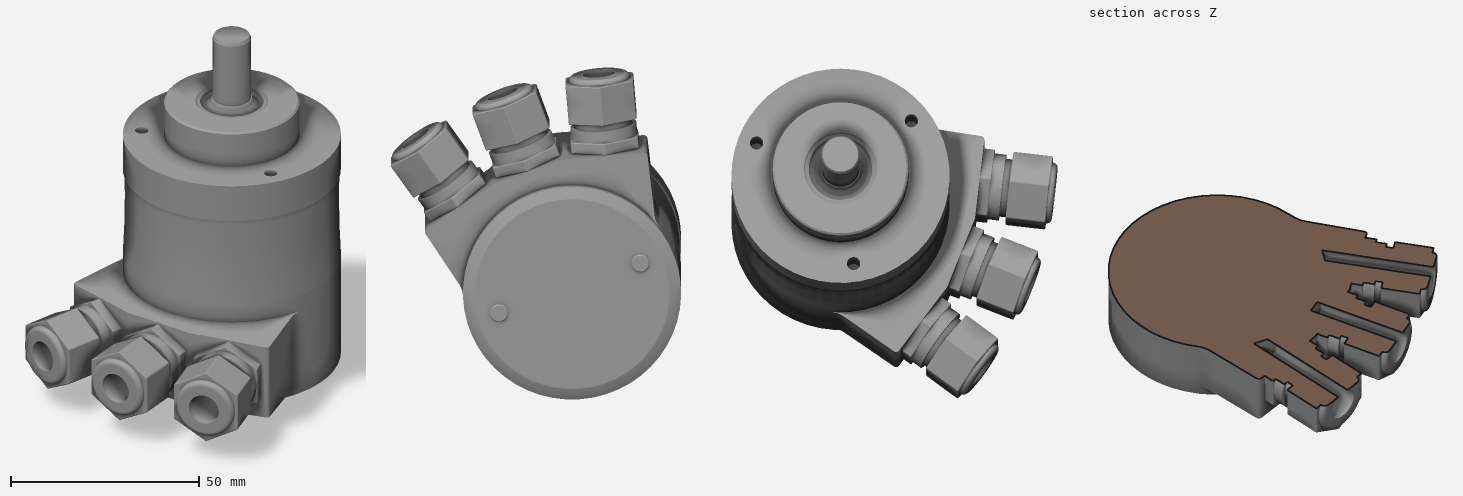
import cadquery as cq
import math


body_radius = 29.0
base_flat_radius = 25.9
waist_top_radius = 28.6
waist_mid_radius = 28.5
boss_radius = 18.0
shaft_radius = 5.1

base_z = 0.6
base_chamfer_top_z = 1.8
waist_bottom_z = 31.5
flange_bottom_z = 57.3
flange_top_z = 67.9
boss_top_z = 78.1
shaft_top_z = 98.0

boss_chamfer = 0.5
shaft_chamfer_height = 0.9
shaft_chamfer_width = 0.4

seal_radius = 9.7
seal_recess = 0.3
groove_outer_radius = 8.4
boot_radius = 7.1
groove_depth = 1.0
boot_base_depth = 0.8
collar_radius = 5.9
collar_top_radius = 5.4
collar_height = 1.0

mount_hole_radius = 1.8
mount_hole_circle = 24.0
mount_hole_depth = 9.8
drill_tip_height = 1.0

foot_radius = 2.45
foot_offset_x = 20.0
foot_chamfer = 0.3
foot_y = -1.8

box_bottom_z = 4.5
box_top_z = 26.7
box_top_slope = 4.0
box_front_y = -34.5
front_half_width = 10.0
side_face_angle = 15.0
side_face_length = 22.3
side_wall_angle = 13.2
box_corner_radius = 1.0
box_blend_radius = 7.35
box_back_y = -10.2
edge_search = 2.0

gland_z = 15.4
hex_across_flats = 18.0
hex_edge_radius = 0.6
hex_end_chamfer = 0.2
gland_base_length = 3.0
gland_collar_radius = 8.8
gland_collar_end = 6.1
gland_neck_radius = 7.7
nut_start = 7.9
nut_end = 18.5
gland_length = 20.0
cap_radius = 8.1
cap_edge_radius = 1.3
bore_radius = 4.2


def make_housing():
    """Base, waisted middle, flange and boss as one turned profile, with the seal groove."""
    seal_z = boss_top_z - seal_recess
    waist_mid_z = (waist_bottom_z + flange_bottom_z) / 2
    groove_mid_radius = (groove_outer_radius + boot_radius) / 2
    profile = (
        cq.Workplane("XZ")
        .moveTo(0, base_z)
        .lineTo(base_flat_radius, base_z)
        .lineTo(body_radius, base_chamfer_top_z)
        .lineTo(body_radius, waist_bottom_z)
        .threePointArc((waist_mid_radius, waist_mid_z), (waist_top_radius, flange_bottom_z))
        .lineTo(body_radius, flange_bottom_z)
        .lineTo(body_radius, flange_top_z)
        .lineTo(boss_radius, flange_top_z)
        .lineTo(boss_radius, boss_top_z - boss_chamfer)
        .lineTo(boss_radius - boss_chamfer, boss_top_z)
        .lineTo(seal_radius, boss_top_z)
        .lineTo(seal_radius - seal_recess, seal_z)
        .lineTo(groove_outer_radius, seal_z)
        .threePointArc(
            (groove_mid_radius, seal_z - groove_depth),
            (boot_radius, seal_z - boot_base_depth),
        )
        .lineTo(collar_radius, boss_top_z)
        .lineTo(collar_top_radius, boss_top_z + collar_height)
        .lineTo(shaft_radius, boss_top_z + collar_height)
        .lineTo(shaft_radius, shaft_top_z - shaft_chamfer_height)
        .lineTo(shaft_radius - shaft_chamfer_width, shaft_top_z)
        .lineTo(0, shaft_top_z)
        .close()
    )
    return profile.revolve(360, (0, 0, 0), (0, 1, 0))


def make_mount_holes():
    """Three blind drilled holes in the flange, the first one on +Y."""
    hole = (
        cq.Workplane("XZ")
        .moveTo(0, flange_top_z)
        .lineTo(mount_hole_radius, flange_top_z)
        .lineTo(mount_hole_radius, flange_top_z - mount_hole_depth)
        .lineTo(0, flange_top_z - mount_hole_depth - drill_tip_height)
        .close()
        .revolve(360, (0, 0, 0), (0, 1, 0))
        .translate((0, mount_hole_circle, 0))
    )
    holes = cq.Workplane("XY")
    for angle in (0, 120, 240):
        holes = holes.add(hole.rotate((0, 0, 0), (0, 0, 1), angle))
    return holes.combine()


def make_feet():
    """Two round feet, reaching up into the base."""
    return (
        cq.Workplane("XY")
        .pushPoints([(-foot_offset_x, foot_y), (foot_offset_x, foot_y)])
        .circle(foot_radius)
        .extrude(base_chamfer_top_z)
        .faces("<Z")
        .chamfer(foot_chamfer)
    )


def side_face_point(distance):
    """Point on the right-hand angled face, at a distance from its edge with the front face."""
    angle = math.radians(side_face_angle)
    x = front_half_width + distance * math.cos(angle)
    y = box_front_y + distance * math.sin(angle)
    return x, y


def make_box():
    """Junction box with three gland faces and a shallow conical top."""
    corner_x, corner_y = side_face_point(side_face_length)
    back_x = corner_x + corner_y * math.tan(math.radians(side_wall_angle))
    right_side = [(front_half_width, box_front_y), (corner_x, corner_y), (back_x, 0)]
    left_side = [(-x, y) for x, y in reversed(right_side)]
    box = (
        cq.Workplane("XY", origin=(0, 0, box_bottom_z))
        .polyline(right_side + left_side)
        .close()
        .extrude(box_top_z - box_bottom_z)
    )
    corners = cq.selectors.BoxSelector(
        (-2 * corner_x, corner_y - edge_search, 0), (2 * corner_x, corner_y + edge_search, box_top_z)
    )
    box = box.edges("|Z").edges(corners).fillet(box_corner_radius)

    outer_radius = 2 * body_radius
    drop = (outer_radius - body_radius) * math.tan(math.radians(box_top_slope))
    envelope = (
        cq.Workplane("XZ")
        .moveTo(0, 0)
        .lineTo(outer_radius, 0)
        .lineTo(outer_radius, box_top_z - drop)
        .lineTo(body_radius, box_top_z)
        .lineTo(0, box_top_z)
        .close()
        .revolve(360, (0, 0, 0), (0, 1, 0))
    )
    return box.intersect(envelope)


def hex_prism(start, end):
    """Hexagon along -Y with two corners up and down and softened edges."""
    corner_diameter = hex_across_flats / math.cos(math.radians(30))
    return (
        cq.Workplane("XZ", origin=(0, -start, 0))
        .polygon(6, corner_diameter)
        .extrude(end - start)
        .edges("|Y")
        .fillet(hex_edge_radius)
        .faces("<Y or >Y")
        .chamfer(hex_end_chamfer)
        .rotate((0, 0, 0), (0, 1, 0), 30)
    )


def round_section(radius, start, end):
    """Cylinder along -Y between two distances."""
    return cq.Workplane("XZ", origin=(0, -start, 0)).circle(radius).extrude(end - start)


def make_gland():
    """Cable gland pointing to -Y, with its seat at the origin."""
    cap = round_section(cap_radius, nut_start + hex_end_chamfer, gland_length)
    cap = cap.faces("<Y").edges().fillet(cap_edge_radius)
    return (
        hex_prism(0, gland_base_length)
        .union(round_section(gland_collar_radius, gland_base_length, gland_collar_end))
        .union(round_section(gland_neck_radius, gland_collar_end, nut_start))
        .union(hex_prism(nut_start, nut_end))
        .union(cap)
    )


side_x, side_y = side_face_point(side_face_length / 2)
gland_seats = [
    (-side_x, side_y, -side_face_angle),
    (0, box_front_y, 0),
    (side_x, side_y, side_face_angle),
]

gland = make_gland()
bore = round_section(bore_radius, -body_radius / 2, gland_length)

box_and_glands = make_box()
for x, y, angle in gland_seats:
    placed_gland = gland.rotate((0, 0, 0), (0, 0, 1), angle).translate((x, y, gland_z))
    placed_bore = bore.rotate((0, 0, 0), (0, 0, 1), angle).translate((x, y, gland_z))
    box_and_glands = box_and_glands.union(placed_gland).cut(placed_bore)

result = make_housing().union(box_and_glands).union(make_feet()).cut(make_mount_holes())

blend_edges = cq.selectors.BoxSelector(
    (-body_radius, box_back_y - edge_search, box_bottom_z), (body_radius, box_back_y + edge_search, box_top_z)
)
result = result.edges("|Z").edges(blend_edges).fillet(box_blend_radius)